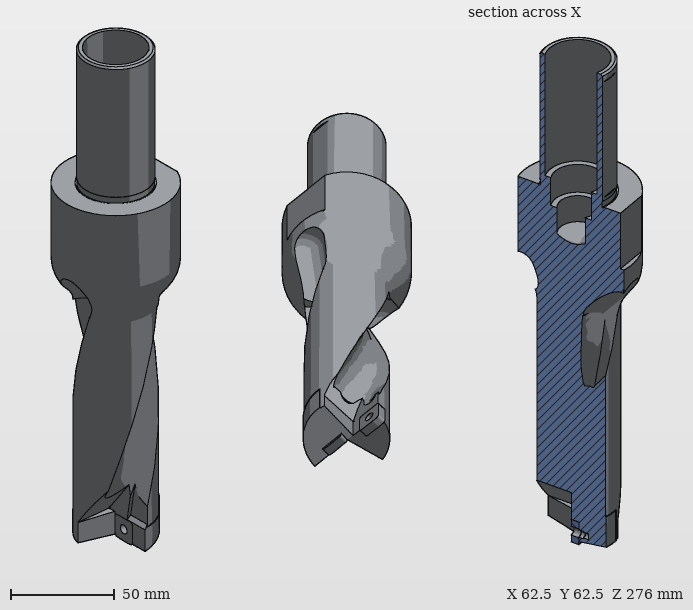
import cadquery as cq
import math


TOTAL_LENGTH = 276.0
SHANK_LENGTH = 76.0
COLLAR_TOP_Z = TOTAL_LENGTH - SHANK_LENGTH
COLLAR_BOTTOM_Z = 158.5
NECK_Z = 133.0
BODY_BOTTOM_Z = 1.1

SHANK_R = 38.09 / 2
SHANK_CHAMFER = 1.0
UNDERCUT_R = 37.59 / 2
UNDERCUT_HEIGHT = 3.0
FACE_GROOVE_R = 39.2 / 2
FACE_GROOVE_DEPTH = 0.5
SHANK_FLAT_DEPTH = 0.6
SHANK_FLAT_BOTTOM_Z = 205.0
SHANK_FLAT_TOP_Z = 271.5

BORE_R = 32.05 / 2
BORE_END_Z = 206.0
BORE_STEP_R = 26.05 / 2
BORE_STEP_END_Z = 190.0
BORE_TIP_R = 20.0 / 2
BORE_TIP_END_Z = 175.0
BORE_CONE_HEIGHT = 6.0

COLLAR_R = 62.5 / 2
COLLAR_FLAT_DEPTH = 2.6
COLLAR_FLAT_BOTTOM_Z = 168.0

BODY_R = 20.75
HEAD_R = 21.1
HEAD_PAD_HEIGHT = 14.3
HEAD_PAD_TALL_HEIGHT = 22.0
HEAD_PAD_TALL_START = 45.0
HEAD_PAD_END = 95.0

FLUTE_R = 17.65 / 2
FLUTE_CENTRE_R = 17.1
FLUTE_BOTTOM_Z = 23.0
FLUTE_TOP_ANGLE = 249.0
TWIST_PER_MM = 0.88
FLUTE_OUTER_R = 26.0
FLUTE_NARROWING = 2.0
EXIT_DIRECTION = (0.46, -0.8, 1.0)
EXIT_LENGTH = 22.0

POCKET_REACH = 26.0
INNER_POCKET_X = -0.6
INNER_POCKET_RIM_X = -4.8
INNER_POCKET_SIDE_Z = 14.0
INNER_POCKET_PEAK_X = 13.5
INNER_POCKET_PEAK_Z = 39.0
INNER_POCKET_OUTER_Z = 30.0
RECESS_DEPTH = 2.0
RECESS_BOTTOM_Z = 13.3
RECESS_INNER_X = 8.2
RECESS_PEAK_X = 12.5
OUTER_POCKET_X = 4.2
OUTER_POCKET_SIDE_Z = 14.0
OUTER_POCKET_BEND_X = 7.0
OUTER_POCKET_BEND_Z = 22.0
OUTER_POCKET_PEAK_X = 14.5
OUTER_POCKET_PEAK_Z = 38.0

INSERT_SIZE = 12.6
INSERT_THICKNESS = 4.4
INSERT_CORNER_R = 1.5
INSERT_HOLE_R = 4.8 / 2
SCREW_HOLE_R = 4.0 / 2
SCREW_HOLE_DEPTH = 7.0
SCREW_TIP_R = 3.0 / 2
SCREW_TIP_DEPTH = 10.0
INSERT_BOTTOM_Z = 0.4
INNER_INSERT_X = -0.6
OUTER_INSERT_X = HEAD_R - INSERT_SIZE
INSERT_TIP_OFFSET = 8.6

LEADING_RELIEF = 9.0
TRAILING_RELIEF = 4.0


def half_turn(shape):
    """The shape turned to the opposite side of the drill axis."""
    return shape.rotate((0, 0, 0), (0, 0, 1), 180)


def drill_blank():
    """Revolved body: fluted length, S-shaped flare, collar, undercut and shank."""
    flare_middle = ((COLLAR_R + BODY_R) / 2, (COLLAR_BOTTOM_Z + NECK_Z) / 2)
    undercut_top_z = COLLAR_TOP_Z + UNDERCUT_HEIGHT
    undercut_step = SHANK_R - UNDERCUT_R
    groove_z = COLLAR_TOP_Z - FACE_GROOVE_DEPTH
    return (
        cq.Workplane("XZ")
        .moveTo(0, 0)
        .lineTo(BODY_R, 0)
        .lineTo(BODY_R, NECK_Z)
        .spline(
            [flare_middle, (COLLAR_R, COLLAR_BOTTOM_Z)],
            tangents=[(0, 1), (0, 1)],
            includeCurrent=True,
        )
        .lineTo(COLLAR_R, COLLAR_TOP_Z)
        .lineTo(FACE_GROOVE_R, COLLAR_TOP_Z)
        .lineTo(FACE_GROOVE_R, groove_z)
        .lineTo(UNDERCUT_R, groove_z)
        .lineTo(UNDERCUT_R, undercut_top_z - undercut_step)
        .lineTo(SHANK_R, undercut_top_z)
        .lineTo(SHANK_R, TOTAL_LENGTH - SHANK_CHAMFER)
        .lineTo(SHANK_R - SHANK_CHAMFER, TOTAL_LENGTH)
        .lineTo(0, TOTAL_LENGTH)
        .close()
        .revolve(360, (0, 0), (0, 1))
    )


def shank_bore():
    """Stepped bore from the shank end, with a conical bottom."""
    return (
        cq.Workplane("XZ")
        .moveTo(0, TOTAL_LENGTH)
        .lineTo(BORE_R, TOTAL_LENGTH)
        .lineTo(BORE_R, BORE_END_Z)
        .lineTo(BORE_STEP_R, BORE_END_Z)
        .lineTo(BORE_STEP_R, BORE_STEP_END_Z)
        .lineTo(BORE_TIP_R, BORE_STEP_END_Z)
        .lineTo(BORE_TIP_R, BORE_TIP_END_Z)
        .lineTo(0, BORE_TIP_END_Z - BORE_CONE_HEIGHT)
        .close()
        .revolve(360, (0, 0), (0, 1))
    )


def flat_cut(radius, depth, z_low, z_high):
    """Block that cuts a flat of the given depth on the +Y side of a cylinder."""
    return (
        cq.Workplane("XY")
        .workplane(offset=z_low)
        .center(0, radius - depth / 2)
        .rect(2 * radius, depth)
        .extrude(z_high - z_low)
    )


def head_pad(start_angle, end_angle, height):
    """Sector of the enlarged head, between two angles about the axis."""
    def on_rim(angle):
        return (HEAD_R * math.cos(math.radians(angle)), HEAD_R * math.sin(math.radians(angle)))

    return (
        cq.Workplane("XY")
        .lineTo(*on_rim(start_angle))
        .threePointArc(on_rim((start_angle + end_angle) / 2), on_rim(end_angle))
        .close()
        .extrude(height)
    )


def flute():
    """Round-bottomed flute with one radial side wall, twisted about the drill axis."""
    half_angle = math.asin(FLUTE_R / FLUTE_CENTRE_R)
    tangent_r = FLUTE_CENTRE_R * math.cos(half_angle)
    length = NECK_Z - FLUTE_BOTTOM_Z
    twist = TWIST_PER_MM * length

    def at_angle(radius, angle):
        return (radius * math.cos(angle), radius * math.sin(angle))

    return (
        cq.Workplane("XY")
        .moveTo(*at_angle(FLUTE_OUTER_R, half_angle))
        .lineTo(*at_angle(tangent_r, half_angle))
        .threePointArc(
            (FLUTE_CENTRE_R - FLUTE_R, 0),
            at_angle(FLUTE_OUTER_R, math.radians(FLUTE_NARROWING) - half_angle),
        )
        .close()
        .twistExtrude(length, twist)
        .rotate((0, 0, 0), (0, 0, 1), FLUTE_TOP_ANGLE - twist)
        .translate((0, 0, FLUTE_BOTTOM_Z))
    )


def flute_centre(z):
    """Point at height z on the helix that the flute's round bottom follows."""
    angle = math.radians(FLUTE_TOP_ANGLE - TWIST_PER_MM * (NECK_Z - z))
    return cq.Vector(FLUTE_CENTRE_R * math.cos(angle), FLUTE_CENTRE_R * math.sin(angle), z)


def ball(centre):
    """Round end of a flute."""
    return cq.Workplane("XY").sphere(FLUTE_R).translate(centre)


def flute_exit():
    """Round-ended runout that carries the flute up and out through the flare."""
    start = flute_centre(NECK_Z)
    direction = cq.Vector(*EXIT_DIRECTION).normalized()
    runout = cq.Workplane(obj=cq.Solid.makeCylinder(FLUTE_R, EXIT_LENGTH, start, direction))
    return runout.union(ball(start)).union(ball(start + direction * EXIT_LENGTH))


def inner_pocket():
    """Open pocket in front of the inner insert: flat back face, leaning side wall, sloping roof."""
    roof = (
        cq.Workplane("XZ")
        .moveTo(INNER_POCKET_RIM_X, INNER_POCKET_SIDE_Z)
        .lineTo(INNER_POCKET_PEAK_X, INNER_POCKET_PEAK_Z)
        .lineTo(POCKET_REACH, INNER_POCKET_OUTER_Z)
        .lineTo(POCKET_REACH, INNER_POCKET_SIDE_Z)
        .close()
        .extrude(POCKET_REACH)
    )
    floor = (
        cq.Workplane("XY")
        .moveTo(INNER_POCKET_X, 0)
        .lineTo(POCKET_REACH, 0)
        .lineTo(POCKET_REACH, -POCKET_REACH)
        .lineTo(INNER_POCKET_RIM_X, -POCKET_REACH)
        .lineTo(INNER_POCKET_RIM_X, -BODY_R)
        .close()
        .extrude(INNER_POCKET_SIDE_Z)
    )
    return roof.union(floor)


def face_recess():
    """Shallow recess in the back face above the inner insert, rising from a bevelled ledge."""
    section = (
        cq.Workplane("YZ")
        .moveTo(0, RECESS_BOTTOM_Z)
        .lineTo(RECESS_DEPTH, RECESS_BOTTOM_Z + RECESS_DEPTH)
        .lineTo(RECESS_DEPTH, INNER_POCKET_PEAK_Z)
        .lineTo(0, INNER_POCKET_PEAK_Z)
        .close()
        .extrude(POCKET_REACH)
    )
    outline = (
        cq.Workplane("XZ")
        .moveTo(RECESS_INNER_X, RECESS_BOTTOM_Z)
        .lineTo(RECESS_PEAK_X, INNER_POCKET_PEAK_Z)
        .lineTo(POCKET_REACH, INNER_POCKET_OUTER_Z)
        .lineTo(POCKET_REACH, RECESS_BOTTOM_Z)
        .close()
        .extrude(-RECESS_DEPTH)
    )
    return section.intersect(outline)


def outer_pocket():
    """Open pocket in front of the outer insert: upright side wall under a sloping, bent roof."""
    return (
        cq.Workplane("XZ")
        .moveTo(OUTER_POCKET_X, 0)
        .lineTo(OUTER_POCKET_X, OUTER_POCKET_SIDE_Z)
        .lineTo(OUTER_POCKET_BEND_X, OUTER_POCKET_BEND_Z)
        .lineTo(OUTER_POCKET_PEAK_X, OUTER_POCKET_PEAK_Z)
        .lineTo(POCKET_REACH, OUTER_POCKET_PEAK_Z)
        .lineTo(POCKET_REACH, 0)
        .close()
        .extrude(POCKET_REACH)
    )


def insert_blank(left_x):
    """Square plate lying behind the pocket face, with a shallow cutting tip on its bottom edge."""
    right_x = left_x + INSERT_SIZE
    return (
        cq.Workplane("XZ")
        .moveTo(left_x, INSERT_BOTTOM_Z)
        .lineTo(left_x + INSERT_TIP_OFFSET, 0)
        .lineTo(right_x, INSERT_BOTTOM_Z)
        .lineTo(right_x, INSERT_BOTTOM_Z + INSERT_SIZE)
        .lineTo(left_x, INSERT_BOTTOM_Z + INSERT_SIZE)
        .close()
        .extrude(-INSERT_THICKNESS)
        .edges("|Y and (not <Z)")
        .fillet(INSERT_CORNER_R)
    )


def insert_hole(left_x, radius, depth):
    """Round cutter through the middle of an insert, starting at the pocket face."""
    centre = (left_x + INSERT_SIZE / 2, 0, INSERT_BOTTOM_Z + INSERT_SIZE / 2)
    return cq.Workplane("XZ", origin=centre).circle(radius).extrude(-depth)


def insert_seat(left_x):
    """Recess for an insert, with its stepped screw hole behind."""
    screw_hole = insert_hole(left_x, SCREW_HOLE_R, SCREW_HOLE_DEPTH)
    screw_tip = insert_hole(left_x, SCREW_TIP_R, SCREW_TIP_DEPTH)
    return insert_blank(left_x).union(screw_hole).union(screw_tip)


def cutting_insert(left_x):
    """Insert with its central through hole, left edge at the given X."""
    return insert_blank(left_x).cut(insert_hole(left_x, INSERT_HOLE_R, INSERT_THICKNESS))


def tip_relief():
    """Material left below the roof-shaped end face of the tip."""
    reach = 2 * HEAD_R
    return (
        cq.Workplane("YZ", origin=(-reach, 0, 0))
        .moveTo(0, BODY_BOTTOM_Z)
        .lineTo(reach, BODY_BOTTOM_Z + reach * math.tan(math.radians(LEADING_RELIEF)))
        .lineTo(reach, -reach)
        .lineTo(-reach, -reach)
        .lineTo(-reach, BODY_BOTTOM_Z + reach * math.tan(math.radians(TRAILING_RELIEF)))
        .close()
        .extrude(2 * reach)
    )


def drill_body():
    """Drill with two opposite flutes, a chip pocket at each, and seats for both inserts."""
    body = drill_blank()
    body = body.union(head_pad(0, HEAD_PAD_END, HEAD_PAD_HEIGHT))
    body = body.union(head_pad(HEAD_PAD_TALL_START, HEAD_PAD_END, HEAD_PAD_TALL_HEIGHT))
    body = body.cut(shank_bore())
    body = body.cut(flat_cut(SHANK_R, SHANK_FLAT_DEPTH, SHANK_FLAT_BOTTOM_Z, SHANK_FLAT_TOP_Z))
    body = body.cut(flat_cut(COLLAR_R, COLLAR_FLAT_DEPTH, COLLAR_FLAT_BOTTOM_Z, COLLAR_TOP_Z))
    for cutter in (flute(), flute_exit(), ball(flute_centre(FLUTE_BOTTOM_Z))):
        body = body.cut(cutter).cut(half_turn(cutter))
    body = body.cut(inner_pocket()).cut(face_recess()).cut(half_turn(outer_pocket()))
    body = body.cut(tip_relief())
    return body.cut(insert_seat(INNER_INSERT_X)).cut(half_turn(insert_seat(OUTER_INSERT_X)))


drill = drill_body()
inner_insert = cutting_insert(INNER_INSERT_X)
outer_insert = half_turn(cutting_insert(OUTER_INSERT_X))

result = cq.Compound.makeCompound([drill.val(), inner_insert.val(), outer_insert.val()])